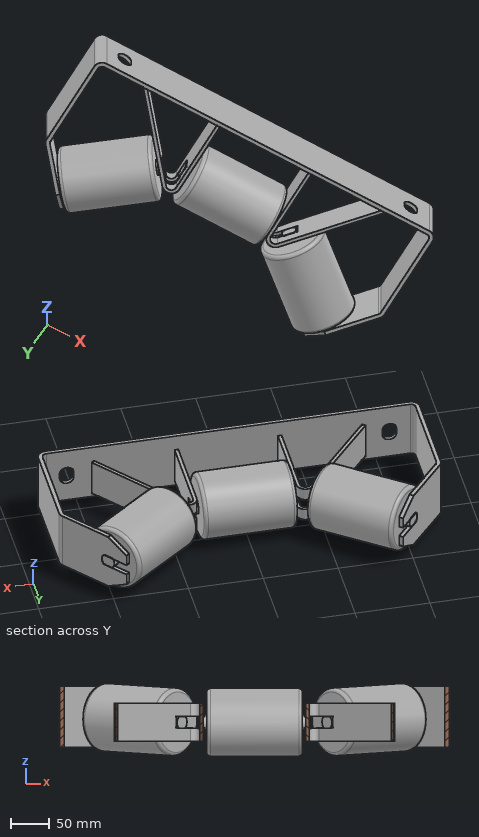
import cadquery as cq
import math


frame_width = 510.0
frame_height = 80.0
frame_sheet = 6.0
frame_bend = 12.0
wing_fold_y = 135.0
wing_length = 105.0
wing_chamfer_length = 30.0
wing_chamfer_height = 17.0
mount_slot_pitch = 431.0
mount_slot_width = 19.0
mount_slot_height = 25.0

bracket_sheet = 5.0
bracket_bend = 12.0
arm_inner_x = 66.5
bracket_fold_y = 115.0
bracket_bottom_z = 8.0
bracket_height = 50.0

roller_diameter = 88.9
roller_length = 125.0
roller_fillet = 5.0
shaft_length = 2 * (arm_inner_x + bracket_sheet)
shaft_diameter = 20.0
shaft_flat_width = 15.0
shaft_flat_length = 6.5
centre_roller_y = 99.25
inner_seat_z = 33.05
outer_seat_z = 40.0
splay = math.radians(40)
side_roller_offset = 21.65

along = (math.sin(splay), math.cos(splay))
inward = (math.cos(splay), -math.sin(splay))


def shifted(point, direction, distance):
    return (point[0] + distance * direction[0], point[1] + distance * direction[1])


def across(point):
    """Position of a point measured along the outer roller axis, seen from above."""
    return point[0] * inward[0] + point[1] * inward[1]


wall_x = -(frame_width - frame_sheet) / 2
base_y = frame_sheet / 2
frame_mid_bend = frame_bend - frame_sheet / 2
wing_start = shifted((wall_x + frame_mid_bend, wing_fold_y), inward, -frame_mid_bend)
wing_tip = shifted(wing_start, along, wing_length)

arm_x = -(arm_inner_x + bracket_sheet / 2)
bracket_mid_bend = bracket_bend - bracket_sheet / 2
brace_start = shifted((arm_x - bracket_mid_bend, bracket_fold_y), inward, -bracket_mid_bend)
brace_end_y = frame_sheet + bracket_sheet / 2 * math.sin(splay)
brace_length = (brace_start[1] - brace_end_y) / along[1]
brace_end = shifted(brace_start, along, -brace_length)

seat_span = across(brace_start) - across(wing_start)
tilt = math.atan2(outer_seat_z - inner_seat_z, seat_span)
side_middle = shifted((0, 0), inward, (across(brace_start) + across(wing_start)) / 2)
side_centre = shifted(side_middle, along, side_roller_offset)
side_axis = (inward[0] * math.cos(tilt), inward[1] * math.cos(tilt), -math.sin(tilt))
side_up = (inward[0] * math.sin(tilt), inward[1] * math.sin(tilt), math.cos(tilt))

centre_plane = cq.Plane((0, centre_roller_y, inner_seat_z), (1, 0, 0), (0, 0, 1))
side_plane = cq.Plane((*side_centre, (inner_seat_z + outer_seat_z) / 2), side_axis, side_up)


def placed(body, plane):
    return cq.Workplane(body.val().located(cq.Location(plane)))


def make_rod(diameter, length):
    """Round bar along local X, centred on the origin."""
    return cq.Workplane("YZ", origin=(-length / 2, 0, 0)).circle(diameter / 2).extrude(length)


def make_flatted_rod(length):
    """Shaft bar with two flats, along local X and centred on the origin."""
    between_flats = cq.Workplane("XY").box(length, shaft_diameter, shaft_flat_width)
    return make_rod(shaft_diameter, length).intersect(between_flats)


def make_roller(plane):
    drum = make_rod(roller_diameter, roller_length).edges().fillet(roller_fillet)
    journal = make_rod(shaft_diameter, shaft_length - 2 * shaft_flat_length)
    roller = drum.union(journal).union(make_flatted_rod(shaft_length))
    return placed(roller, plane)


def make_shaft_slot(plane, end):
    """Cutter for the open slot that seats one shaft end; end is -1 or 1 along local X."""
    depth = 2 * (shaft_flat_length + bracket_bend)
    reach = 2 * wing_length
    channel = cq.Workplane("XY").box(depth, reach, shaft_flat_width).translate((0, reach / 2, 0))
    seat = make_flatted_rod(depth).union(channel)
    slot_start = shaft_length / 2 - shaft_flat_length
    return placed(seat.translate((end * (slot_start + depth / 2), 0, 0)), plane)


def make_wing_chamfer(side):
    """Cutter for the bevelled top (1) or bottom (-1) corner of the left-hand wing."""
    tip_plane = cq.Plane((*wing_tip, frame_height / 2), (*along, 0), (*inward, 0))
    corner_y = side * frame_height / 2
    triangle = [
        (0, corner_y),
        (-wing_chamfer_length, corner_y),
        (0, corner_y - side * wing_chamfer_height),
    ]
    return cq.Workplane(tip_plane).polyline(triangle).close().extrude(frame_sheet, both=True)


def make_frame():
    path = (
        cq.Workplane("XY")
        .moveTo(0, base_y)
        .lineTo(wall_x + frame_mid_bend, base_y)
        .tangentArcPoint((wall_x, base_y + frame_mid_bend), relative=False)
        .lineTo(wall_x, wing_fold_y)
        .tangentArcPoint(wing_start, relative=False)
        .lineTo(*wing_tip)
    )
    section = cq.Workplane("YZ").center(base_y, frame_height / 2).rect(frame_sheet, frame_height)
    half = section.sweep(path)
    for side in (1, -1):
        half = half.cut(make_wing_chamfer(side))
    half = half.cut(make_shaft_slot(side_plane, -1))
    mount_slot = (
        cq.Workplane("XZ", origin=(-mount_slot_pitch / 2, 0, frame_height / 2))
        .slot2D(mount_slot_height, mount_slot_width, 90)
        .extrude(-frame_sheet)
    )
    half = half.cut(mount_slot)
    return half.union(half.mirror("YZ"))


def make_left_bracket():
    path = (
        cq.Workplane("XY")
        .moveTo(arm_x, frame_sheet)
        .lineTo(arm_x, bracket_fold_y)
        .tangentArcPoint(brace_start, relative=False)
        .lineTo(*brace_end)
    )
    section_centre = (arm_x, frame_sheet, bracket_bottom_z + bracket_height / 2)
    section = cq.Workplane("XZ", origin=section_centre).rect(bracket_sheet, bracket_height)
    bracket = section.sweep(path)
    bracket = bracket.cut(make_shaft_slot(centre_plane, -1))
    return bracket.cut(make_shaft_slot(side_plane, 1))


frame = make_frame()
left_bracket = make_left_bracket()
centre_roller = make_roller(centre_plane)
left_roller = make_roller(side_plane)

bodies = [frame.val(), centre_roller.val()]
for left_body in (left_bracket, left_roller):
    bodies.append(left_body.val())
    bodies.append(left_body.mirror("YZ").val())
result = cq.Compound.makeCompound(bodies)